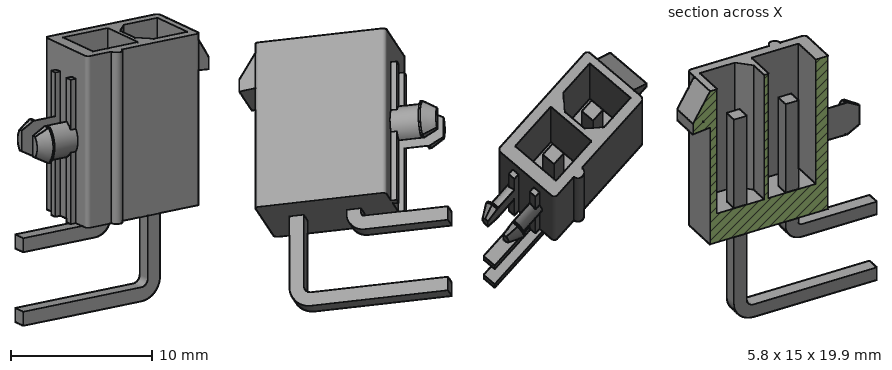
import cadquery as cq


body_width = 5.36
body_depth = 9.63
body_height = 12.8
corner_radius = 0.3

contact_pitch = 4.2
front_contact_y = 2.93
rear_contact_y = front_contact_y + contact_pitch
cavity_size = 3.83
cavity_depth = 10.36
cavity_key_chamfer = 0.98

pin_size = 1.05
pin_reach = 3.99
pin_top_z = body_height - 2.99
front_pin_bottom_z = -1.65
rear_pin_bottom_z = -7.13
front_bend_radius = 0.28
rear_bend_radius = 0.55

side_rib_radius = 0.44
side_rib_y = 2.51

latch_width = 3.43
latch_reach = 1.4
latch_ramp_drop = 2.3
latch_outer_drop = 3.2
latch_inner_drop = 3.07

peg_gap = 1.43
standoff_outer_x = 1.25
standoff_reach = 0.44
standoff_height = 10.76
peg_z = 6.18
peg_radius = 1.51
peg_barb_radius = 1.8
peg_tip_radius = 1.25
peg_barb_start = 2.15
peg_taper_start = 2.3
peg_length = 3.29
peg_flat_half_height = 1.325
peg_tip_half_height = 0.78


def make_body():
    """Rounded block with the half-round rib along its +X side."""
    block = (
        cq.Workplane("XY")
        .box(body_width, body_depth, body_height, centered=(True, False, False))
        .edges("|Z")
        .fillet(corner_radius)
    )
    rib = (
        cq.Workplane("XY")
        .center(body_width / 2, side_rib_y)
        .circle(side_rib_radius)
        .extrude(body_height)
    )
    return block.union(rib)


def make_cavity(center_y):
    """Square blind pocket open at the top of the body."""
    return (
        cq.Workplane("XY", origin=(0, center_y, body_height - cavity_depth))
        .rect(cavity_size, cavity_size)
        .extrude(cavity_depth)
    )


def make_latch():
    """Ramp with a slightly undercut catch face."""
    return (
        cq.Workplane("YZ", origin=(0, body_depth, body_height))
        .polyline([
            (0, 0),
            (latch_reach, -latch_ramp_drop),
            (latch_reach, -latch_outer_drop),
            (0, -latch_inner_drop),
        ])
        .close()
        .extrude(latch_width / 2, both=True)
    )


def make_pin(center_y, bottom_z, bend_radius):
    """Square pin rising through the body and bent toward the board."""
    back_y = center_y + pin_size / 2
    front_y = center_y - pin_size / 2
    pin = (
        cq.Workplane("YZ")
        .moveTo(-pin_reach, bottom_z)
        .lineTo(back_y, bottom_z)
        .lineTo(back_y, pin_top_z)
        .lineTo(front_y, pin_top_z)
        .lineTo(front_y, bottom_z + pin_size)
        .lineTo(-pin_reach, bottom_z + pin_size)
        .close()
        .extrude(pin_size / 2, both=True)
    )
    outer_corner = cq.selectors.NearestToPointSelector((0, back_y, bottom_z))
    inner_corner = cq.selectors.NearestToPointSelector((0, front_y, bottom_z + pin_size))
    pin = pin.edges("|X").edges(outer_corner).fillet(bend_radius + pin_size)
    return pin.edges("|X").edges(inner_corner).fillet(bend_radius)


def make_standoff(side):
    """Vertical rib beside the peg gap; side is -1 or 1."""
    inner_x = peg_gap / 2
    return (
        cq.Workplane("XY")
        .center(side * (inner_x + standoff_outer_x) / 2, -standoff_reach / 2)
        .rect(standoff_outer_x - inner_x, standoff_reach)
        .extrude(standoff_height)
    )


def make_peg():
    """Barbed round peg, flattened top and bottom and split by a central gap."""
    turned = (
        cq.Workplane("XY")
        .polyline([
            (0, 0),
            (peg_radius, 0),
            (peg_radius, -peg_barb_start),
            (peg_barb_radius, -peg_barb_start),
            (peg_barb_radius, -peg_taper_start),
            (peg_tip_radius, -peg_length),
            (0, -peg_length),
        ])
        .close()
        .revolve(360, (0, 0), (0, 1))
    )
    flats = (
        cq.Workplane("YZ")
        .polyline([
            (0, peg_flat_half_height),
            (-peg_taper_start, peg_flat_half_height),
            (-peg_length, peg_tip_half_height),
            (-peg_length, -peg_tip_half_height),
            (-peg_taper_start, -peg_flat_half_height),
            (0, -peg_flat_half_height),
        ])
        .close()
        .extrude(peg_barb_radius, both=True)
    )
    gap = (
        cq.Workplane("XZ")
        .rect(peg_gap, 2 * peg_barb_radius)
        .extrude(peg_length)
    )
    return turned.intersect(flats).cut(gap).translate((0, 0, peg_z))


front_cavity = make_cavity(front_contact_y)
rear_cavity = make_cavity(rear_contact_y).edges("|Z and <Y").chamfer(cavity_key_chamfer)

result = make_body().cut(front_cavity).cut(rear_cavity)
result = result.union(make_latch()).union(make_peg())
for side in (-1, 1):
    result = result.union(make_standoff(side))
result = result.union(make_pin(front_contact_y, front_pin_bottom_z, front_bend_radius))
result = result.union(make_pin(rear_contact_y, rear_pin_bottom_z, rear_bend_radius))